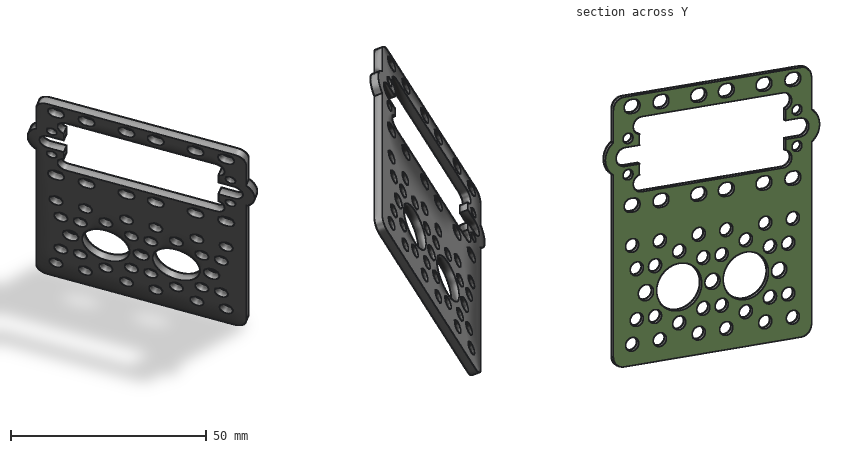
import cadquery as cq
import math

thickness = 2.29
half_thickness = thickness / 2
plate_width = 56.7
plate_height = 73.47
corner_radius = 3.1

window_z = 57.1
window_width = 41.7
window_height = 20.3
relief_radius = 2.35
relief_x = 20.2
relief_z = window_height / 2 - relief_radius

overall_width = 61.3
lug_radius = 5.4
lug_x = overall_width / 2 - lug_radius
ear_slot_span = 54.9
ear_slot_height = 5.0
servo_screw_diameter = 2.7
servo_screw_x = 24.12
servo_screw_z = 4.94

row_spacing = 26.87
oblong_length = 4.4
oblong_height = 3.65
oblong_columns = (3.94, 14.7, 22.95)
hole_diameter = 3.6
hole_columns = (3.94, 15.05, 22.95)

motor_z = 19.27
motor_pitch = 19.02
bore_diameter = 12.75
screw_circle_radius = 9.76
middle_hole_diameter = 4.2


def mirrored(columns):
    """Return every column position on both sides of the centre line."""
    return [side * x for x in columns for side in (-1, 1)]


def front_plane(z):
    """XZ plane on the centre of the plate thickness, with its origin at height z."""
    return cq.Workplane("XZ", origin=(0, 0, z))


def round_prism(z, points, diameter):
    """Full-thickness cylinders at (x, z) points measured from height z."""
    return front_plane(z).pushPoints(points).circle(diameter / 2).extrude(half_thickness, both=True)


def make_plate():
    plate = front_plane(plate_height / 2).rect(plate_width, plate_height).extrude(half_thickness, both=True)
    plate = plate.edges("|Y").fillet(corner_radius)
    lug_centres = [(-lug_x, 0), (lug_x, 0)]
    return plate.union(round_prism(window_z, lug_centres, 2 * lug_radius))


def make_servo_cutout():
    window = front_plane(window_z).rect(2 * relief_x, window_height).extrude(half_thickness, both=True)
    middle_height = 2 * relief_z
    middle = front_plane(window_z).rect(window_width, middle_height).extrude(half_thickness, both=True)
    ear_slot = front_plane(window_z).slot2D(ear_slot_span, ear_slot_height).extrude(half_thickness, both=True)
    reliefs = [(x, z) for x in (-relief_x, relief_x) for z in (-relief_z, relief_z)]
    screws = [(x, z) for x in (-servo_screw_x, servo_screw_x) for z in (-servo_screw_z, servo_screw_z)]
    cutout = window.union(middle).union(ear_slot)
    cutout = cutout.union(round_prism(window_z, reliefs, 2 * relief_radius))
    return cutout.union(round_prism(window_z, screws, servo_screw_diameter))


def row_points(columns):
    """Points of two rows placed evenly above and below a centre."""
    return [(x, z) for x in mirrored(columns) for z in (-row_spacing / 2, row_spacing / 2)]


def make_oblong_rows():
    rows = front_plane(window_z).pushPoints(row_points(oblong_columns))
    return rows.slot2D(oblong_length, oblong_height).extrude(half_thickness, both=True)


def make_hole_rows():
    return round_prism(motor_z, row_points(hole_columns), hole_diameter)


def make_motor_pattern():
    bores = [(-motor_pitch / 2, 0), (motor_pitch / 2, 0)]
    middle_holes = [(-motor_pitch, 0), (0, 0), (motor_pitch, 0)]
    vertical_screws = [(x, z) for x, _ in bores for z in (-screw_circle_radius, screw_circle_radius)]
    diagonal = screw_circle_radius * math.sin(math.radians(45))
    pair_offset = motor_pitch / 2 - diagonal
    diagonal_screws = [
        (x + dx, z)
        for x, _ in middle_holes
        for dx in (-pair_offset, pair_offset)
        for z in (-diagonal, diagonal)
    ]
    pattern = round_prism(motor_z, bores, bore_diameter)
    pattern = pattern.union(round_prism(motor_z, middle_holes, middle_hole_diameter))
    return pattern.union(round_prism(motor_z, vertical_screws + diagonal_screws, hole_diameter))


result = make_plate()
for cutter in (make_servo_cutout(), make_oblong_rows(), make_hole_rows(), make_motor_pattern()):
    result = result.cut(cutter)